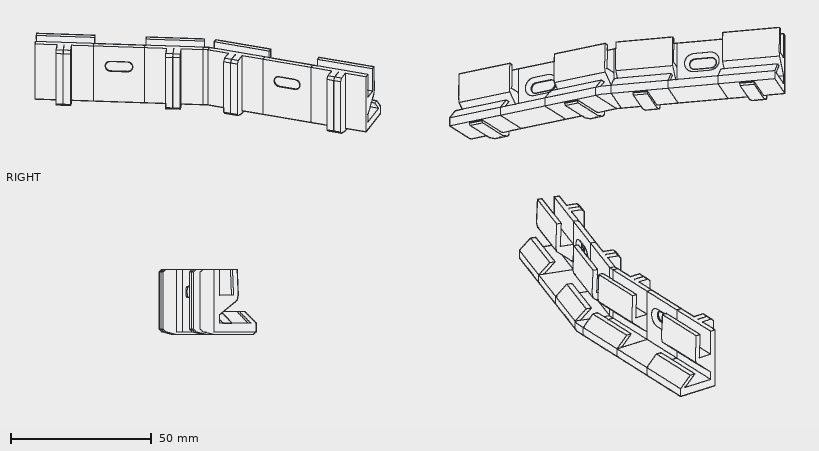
import cadquery as cq
import math


bend_angle = 16.0

clip_length = 20.8
bracket_length = 18.2
corner_left_leg = 3.8

depth = 15.0
height = 22.2
wall_thickness = 2.0
floor_thickness = 3.1

lip_thickness = 2.0
lip_rise = 4.2

hook_root_height = 6.0
hook_heel_height = 11.2
trough_height = 13.0
trough_width = 4.9
hook_thickness = 1.7
hook_lean = 0.4
hook_heel_inset = 0.4

slot_length = 9.7
slot_width = 4.0
slot_height = 14.2
slot_flare = 1.5

rib_width = 5.2
rib_depth = 4.9
rib_chamfer = 1.0
rib_slit = 0.06

keel_drop = 1.0
keel_back_inset = 0.5
keel_back_chamfer = 0.6

corner_right_leg = depth * math.tan(math.radians(bend_angle / 2))
wall_front = -depth
wall_back = wall_front + wall_thickness
rib_front = wall_front - rib_depth


def extrude_along_arm(outline, start, length):
    """Extrude a (Y, Z) outline along X."""
    return cq.Workplane("YZ").polyline(outline).close().extrude(length).translate((start, 0, 0))


def angle_outline():
    """L-shaped section of wall and floor."""
    return [
        (wall_front, 0),
        (0, 0),
        (0, floor_thickness),
        (wall_back, floor_thickness),
        (wall_back, height),
        (wall_front, height),
    ]


def clip_outline():
    """Section of a clip: floor with a slanted lip, wall, and hook with its trough."""
    lip_top = floor_thickness + lip_rise
    trough_back = wall_back + trough_width
    hook_back = trough_back + hook_thickness
    return [
        (wall_front, 0),
        (0, 0),
        (0, floor_thickness),
        (-lip_rise, lip_top),
        (-lip_rise - lip_thickness, lip_top),
        (-lip_thickness, floor_thickness),
        (wall_back, floor_thickness),
        (wall_back, hook_root_height),
        (hook_back - hook_heel_inset, hook_heel_height),
        (hook_back, trough_height),
        (hook_back - hook_lean, height),
        (trough_back - hook_lean, height),
        (trough_back, trough_height),
        (wall_back, trough_height),
        (wall_back, height),
        (wall_front, height),
    ]


def rib_outline():
    """Section of the rib on the wall front and the keel under the floor."""
    keel_back = -keel_back_inset
    return [
        (rib_front, rib_chamfer),
        (rib_front + rib_chamfer, 0),
        (wall_front, -keel_drop),
        (keel_back - keel_back_chamfer, -keel_drop),
        (keel_back, keel_back_chamfer - keel_drop),
        (keel_back, 0),
        (wall_back, 0),
        (wall_back, height),
        (rib_front + rib_chamfer, height),
        (rib_front, height - rib_chamfer),
    ]


def make_clip(start):
    """Clip with a slit rib and a keel at the middle of its length."""
    middle = start + clip_length / 2
    profile = extrude_along_arm(clip_outline(), start, clip_length)
    rib = extrude_along_arm(rib_outline(), middle - rib_width / 2, rib_width)
    slit = cq.Workplane("XY").box(rib_slit, rib_depth, height, centered=(True, False, False))
    return profile.union(rib).cut(slit.translate((middle, rib_front, 0)))


def make_slot(middle):
    """Cutter for a slot through the wall that flares towards the back."""
    mouth = cq.Workplane("XZ", origin=(middle, wall_back, slot_height))
    straight = mouth.slot2D(slot_length, slot_width).extrude(wall_thickness)
    flare = (
        mouth.slot2D(slot_length + 2 * slot_flare, slot_width + 2 * slot_flare)
        .workplane(offset=slot_flare)
        .slot2D(slot_length, slot_width)
        .loft()
    )
    return straight.union(flare)


def make_bracket(start):
    """Wall and floor with a lengthwise slot through the wall."""
    slot = make_slot(start + bracket_length / 2)
    return extrude_along_arm(angle_outline(), start, bracket_length).cut(slot)


def swing_left(body):
    """Turn a body about the bend into the direction of the left arm."""
    return body.rotate((0, 0, 0), (0, 0, 1), bend_angle)


def make_corner():
    """Wall and floor mitred at the bend, with a short leg along each arm."""
    reach = corner_left_leg + corner_right_leg
    right_leg = extrude_along_arm(angle_outline(), -reach, reach + corner_right_leg)
    left_leg = swing_left(extrude_along_arm(angle_outline(), -corner_left_leg, reach + corner_left_leg))
    half_angle = math.radians(bend_angle / 2)
    miter_run = 2 * depth
    miter_front = (miter_run * math.tan(half_angle), -miter_run)
    miter_back = (-miter_front[0], miter_run)
    right_side = (
        cq.Workplane("XY", origin=(0, 0, -height))
        .polyline([miter_front, miter_back, (miter_run, miter_run), (miter_run, -miter_run)])
        .close()
        .extrude(3 * height)
    )
    return right_leg.intersect(right_side).union(left_leg.cut(right_side))


clip_offsets = [0, clip_length + bracket_length]
arm_length = 2 * clip_length + bracket_length
right_arm_start = corner_right_leg
left_arm_start = -corner_left_leg - arm_length

clips = []
for offset in clip_offsets:
    clips.append(make_clip(right_arm_start + offset))
    clips.append(swing_left(make_clip(left_arm_start + offset)))

brackets = [
    make_bracket(right_arm_start + clip_length),
    swing_left(make_bracket(left_arm_start + clip_length)),
]

corner = make_corner()

bodies = [body.solids().val() for body in clips + brackets + [corner]]
result = cq.Compound.makeCompound(bodies)